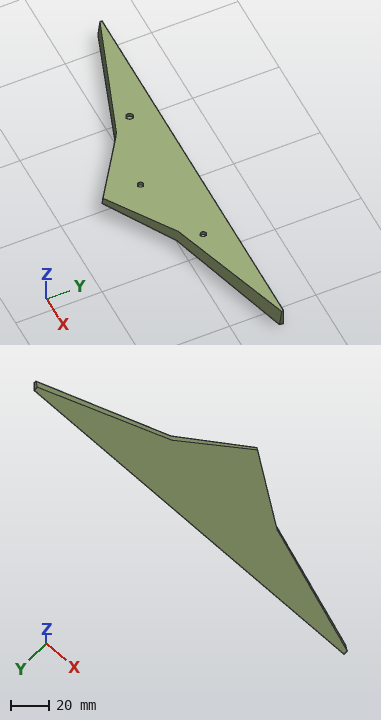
import cadquery as cq
import math

span = 221.0
depth = 52.5
back_thickness = 10.4
nose_thickness = 4.0

tip_depth = 2.5
kink_half_span = 37.5
kink_depth = 27.2

side_hole_offset = 44.9
side_hole_from_back = 15.3
nose_hole_from_back = 30.3
large_hole_diameter = 4.0
small_hole_diameter = 3.3
hole_depth = 2.2

slope = math.atan((back_thickness - nose_thickness) / depth)


def make_plate():
    """Extrude the arrowhead square to its sloping underside, then trim it flat."""
    underside = cq.Plane(
        origin=(0, 0, -back_thickness),
        xDir=(1, 0, 0),
        normal=(0, math.sin(slope), math.cos(slope)),
    )
    stretch = 1 / math.cos(slope)
    outline = [
        (-span / 2, 0),
        (-span / 2, -tip_depth * stretch),
        (-kink_half_span, -kink_depth * stretch),
        (0, -depth * stretch),
        (kink_half_span, -kink_depth * stretch),
        (span / 2, -tip_depth * stretch),
        (span / 2, 0),
    ]
    prism = cq.Workplane(underside).polyline(outline).close().extrude(2 * back_thickness)
    envelope = cq.Workplane("XY").box(span, depth, back_thickness, centered=(True, False, False))
    return prism.intersect(envelope.translate((0, -depth, -back_thickness)))


def make_hole(x, from_back, diameter):
    """Cylinder to remove for one blind hole."""
    return (
        cq.Workplane("XY")
        .center(x, -from_back)
        .circle(diameter / 2)
        .extrude(-hole_depth)
    )


holes = [
    (-side_hole_offset, side_hole_from_back, large_hole_diameter),
    (side_hole_offset, side_hole_from_back, small_hole_diameter),
    (0, nose_hole_from_back, small_hole_diameter),
]

result = make_plate()
for x, from_back, diameter in holes:
    result = result.cut(make_hole(x, from_back, diameter))